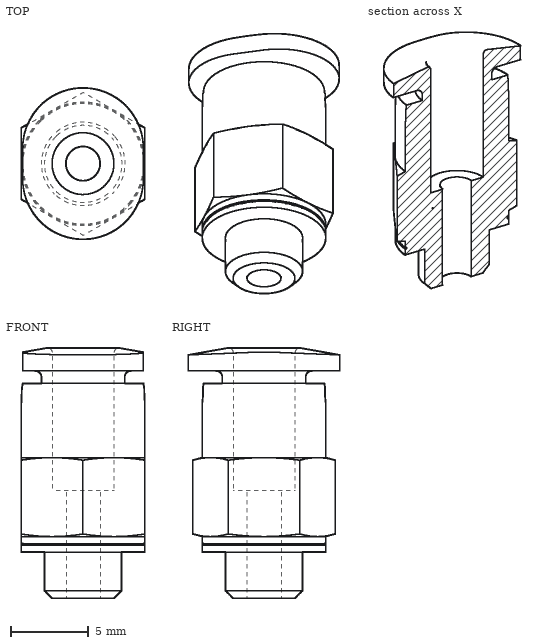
import cadquery as cq
import math

stem_radius = 2.5
stem_chamfer = 0.5
stem_length = 3.0

collar_radius = 4.0
collar_height = 1.0
groove_offset = 0.45
groove_width = 0.1
groove_depth = 0.1

hex_across_flats = 8.0
hex_height = 5.1
hex_chamfer_angle = math.radians(15)

sleeve_radius = 4.0
sleeve_straight_height = 3.5
taper_height = 1.0
taper_radius = 3.96
rim_height = 0.3
rim_radius = 3.91

neck_radius = 2.7
neck_height = 0.8
neck_fillet = 0.4
flange_half_width = 3.9
flange_half_length = 4.9
flange_height = 1.5
flange_cone_angle = math.radians(10)

socket_radius = 2.0
socket_lip_fillet = 0.3
socket_depth = 9.2
passage_radius = 1.1

hex_bottom = stem_length + collar_height
hex_top = hex_bottom + hex_height
taper_bottom = hex_top + sleeve_straight_height
taper_top = taper_bottom + taper_height
sleeve_top = taper_top + rim_height
flange_bottom = sleeve_top + neck_height
total_height = flange_bottom + flange_height
socket_floor = total_height - socket_depth


def revolve_profile(profile):
    """Turn a closed (radius, z) profile drawn on XZ around the Z axis."""
    return profile.close().revolve(360, (0, 0, 0), (0, 1, 0))


def make_stem_and_collar():
    groove_bottom = stem_length + groove_offset
    groove_top = groove_bottom + groove_width
    groove_radius = collar_radius - groove_depth
    profile = (
        cq.Workplane("XZ")
        .lineTo(stem_radius - stem_chamfer, 0)
        .lineTo(stem_radius, stem_chamfer)
        .lineTo(stem_radius, stem_length)
        .lineTo(collar_radius, stem_length)
        .lineTo(collar_radius, groove_bottom)
        .lineTo(groove_radius, groove_bottom)
        .lineTo(groove_radius, groove_top)
        .lineTo(collar_radius, groove_top)
        .lineTo(collar_radius, hex_bottom)
        .lineTo(0, hex_bottom)
    )
    return revolve_profile(profile)


def make_hexagon():
    """Hexagon with flats facing +X and -X, its corners trimmed by cones."""
    flat_radius = hex_across_flats / 2
    corner_radius = flat_radius / math.cos(math.pi / 6)
    chamfer_height = (corner_radius - flat_radius) * math.tan(hex_chamfer_angle)
    prism = (
        cq.Workplane("XY", origin=(0, 0, hex_bottom))
        .transformed(rotate=(0, 0, 30))
        .polygon(6, 2 * corner_radius)
        .extrude(hex_height)
    )
    trimming_profile = (
        cq.Workplane("XZ")
        .moveTo(0, hex_bottom)
        .lineTo(flat_radius, hex_bottom)
        .lineTo(corner_radius, hex_bottom + chamfer_height)
        .lineTo(corner_radius, hex_top - chamfer_height)
        .lineTo(flat_radius, hex_top)
        .lineTo(0, hex_top)
    )
    return prism.intersect(revolve_profile(trimming_profile))


def make_sleeve_and_neck():
    fillet_bottom = flange_bottom - neck_fillet
    fillet_mid_offset = neck_fillet * (1 - math.sqrt(0.5))
    profile = (
        cq.Workplane("XZ")
        .moveTo(0, hex_top)
        .lineTo(sleeve_radius, hex_top)
        .lineTo(sleeve_radius, taper_bottom)
        .lineTo(taper_radius, taper_top)
        .lineTo(rim_radius, sleeve_top)
        .lineTo(neck_radius, sleeve_top)
        .lineTo(neck_radius, fillet_bottom)
        .threePointArc(
            (neck_radius + fillet_mid_offset, flange_bottom - fillet_mid_offset),
            (neck_radius + neck_fillet, flange_bottom),
        )
        .lineTo(0, flange_bottom)
    )
    return revolve_profile(profile)


def make_flange():
    """Oblong plate, long side on Y, trimmed on top by a shallow cone."""
    plate = (
        cq.Workplane("XY", origin=(0, 0, flange_bottom))
        .slot2D(2 * flange_half_length, 2 * flange_half_width, 90)
        .extrude(flange_height)
    )
    cone_start = socket_radius + socket_lip_fillet
    cone_drop = (flange_half_length - cone_start) * math.tan(flange_cone_angle)
    trimming_profile = (
        cq.Workplane("XZ")
        .moveTo(0, flange_bottom)
        .lineTo(flange_half_length, flange_bottom)
        .lineTo(flange_half_length, total_height - cone_drop)
        .lineTo(cone_start, total_height)
        .lineTo(0, total_height)
    )
    return plate.intersect(revolve_profile(trimming_profile))


def make_bore():
    """Socket with a rounded mouth, continuing as a narrow passage through the stem."""
    lip_mid_offset = socket_lip_fillet * (1 - math.sqrt(0.5))
    profile = (
        cq.Workplane("XZ")
        .lineTo(passage_radius, 0)
        .lineTo(passage_radius, socket_floor)
        .lineTo(socket_radius, socket_floor)
        .lineTo(socket_radius, total_height - socket_lip_fillet)
        .threePointArc(
            (socket_radius + lip_mid_offset, total_height - lip_mid_offset),
            (socket_radius + socket_lip_fillet, total_height),
        )
        .lineTo(0, total_height)
    )
    return revolve_profile(profile)


result = (
    make_stem_and_collar()
    .union(make_hexagon())
    .union(make_sleeve_and_neck())
    .union(make_flange())
    .cut(make_bore())
)